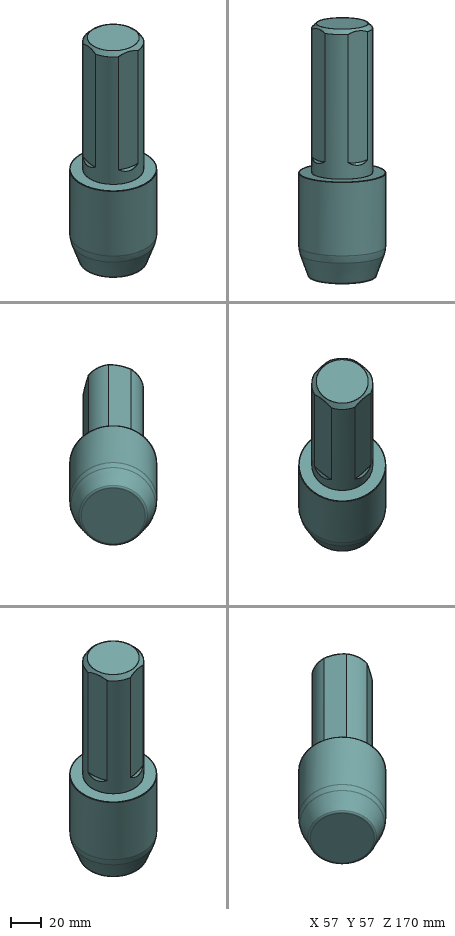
import cadquery as cq
import math

total_length = 170.0
body_length = 70.0
body_radius = 57.0 / 2
body_chamfer = 0.3
shank_radius = 39.98 / 2

taper_angle = math.radians(20.0)
shoulder_height = 20.5
shoulder_blend_radius = 15.0
nose_edge_radius = 1.5

shank_chamfer = 3.0
across_flats = 37.0
flat_count = 4
flat_end_height = 80.1
flat_end_radius = 31.0

flat_distance = across_flats / 2
flat_depth = shank_radius - flat_distance


def make_turned_blank():
    """Nose, body and chamfered shank, turned about Z."""
    corner_height = shoulder_height - shoulder_blend_radius * math.tan(taper_angle / 2)
    nose_radius = body_radius - corner_height * math.tan(taper_angle)
    blend_center = body_radius - shoulder_blend_radius

    def blend_point(angle):
        return (
            blend_center + shoulder_blend_radius * math.cos(angle),
            shoulder_height - shoulder_blend_radius * math.sin(angle),
        )

    profile = (
        cq.Workplane("XZ")
        .moveTo(0, 0)
        .lineTo(nose_radius, 0)
        .lineTo(*blend_point(taper_angle))
        .threePointArc(blend_point(taper_angle / 2), (body_radius, shoulder_height))
        .lineTo(body_radius, body_length - body_chamfer)
        .lineTo(body_radius - body_chamfer, body_length)
        .lineTo(shank_radius, body_length)
        .lineTo(shank_radius, total_length - shank_chamfer)
        .lineTo(shank_radius - shank_chamfer, total_length)
        .lineTo(0, total_length)
        .close()
    )
    blank = profile.revolve(360, (0, 0), (0, 1))
    return blank.faces("<Z").edges().fillet(nose_edge_radius)


def make_flat_cutter():
    """Cutter for the -Y flat: a 45 degree cone at its rounded lower end, open past the shank top."""
    cone_center_height = flat_end_height + flat_end_radius
    clearance = 1.0
    cut_depth = flat_depth + clearance
    end_cone = cq.Workplane(
        cq.Solid.makeCone(
            flat_end_radius,
            flat_end_radius + cut_depth,
            cut_depth,
            cq.Vector(0, -flat_distance, cone_center_height),
            cq.Vector(0, -1, 0),
        )
    )
    straight_height = total_length + clearance - cone_center_height
    straight = cq.Workplane("XY").box(
        2 * shank_radius, cut_depth, straight_height, centered=(True, False, False)
    ).translate((0, -flat_distance - cut_depth, cone_center_height))
    return end_cone.union(straight)


def cut_flats(part):
    cutter = make_flat_cutter()
    for index in range(flat_count):
        angle = index * 360.0 / flat_count
        part = part.cut(cutter.rotate((0, 0, 0), (0, 0, 1), angle))
    return part


result = cut_flats(make_turned_blank())